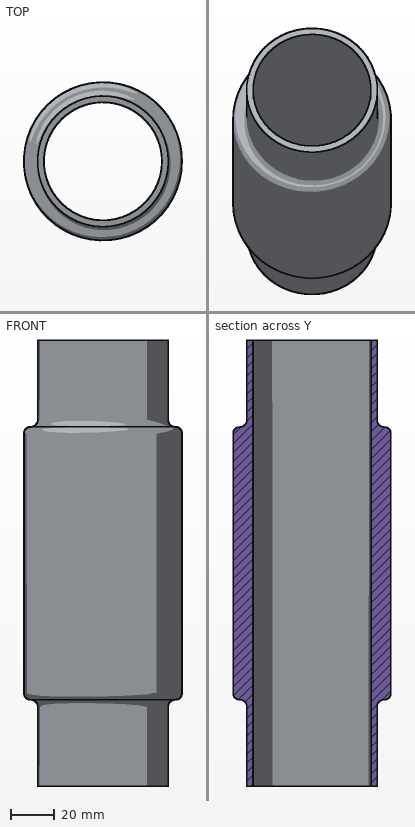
import cadquery as cq

total_length = 206.0
body_diameter = 73.1
neck_diameter = 60.4
bore_diameter = 54.4

neck_length = 40.0
shoulder_radius = 3.0

body_radius = body_diameter / 2
neck_radius = neck_diameter / 2
bore_radius = bore_diameter / 2
end_z = total_length / 2
shoulder_z = end_z - neck_length

ring_outer_radius = body_radius - shoulder_radius
ring_inner_radius = neck_radius + shoulder_radius

wall_section = (
    cq.Workplane("XZ")
    .moveTo(bore_radius, -end_z)
    .lineTo(neck_radius, -end_z)
    .lineTo(neck_radius, -shoulder_z - shoulder_radius)
    .radiusArc((ring_inner_radius, -shoulder_z), shoulder_radius)
    .lineTo(ring_outer_radius, -shoulder_z)
    .radiusArc((body_radius, -shoulder_z + shoulder_radius), -shoulder_radius)
    .lineTo(body_radius, shoulder_z - shoulder_radius)
    .radiusArc((ring_outer_radius, shoulder_z), -shoulder_radius)
    .lineTo(ring_inner_radius, shoulder_z)
    .radiusArc((neck_radius, shoulder_z + shoulder_radius), shoulder_radius)
    .lineTo(neck_radius, end_z)
    .lineTo(bore_radius, end_z)
    .close()
)

result = wall_section.revolve(360, (0, 0, 0), (0, 1, 0))